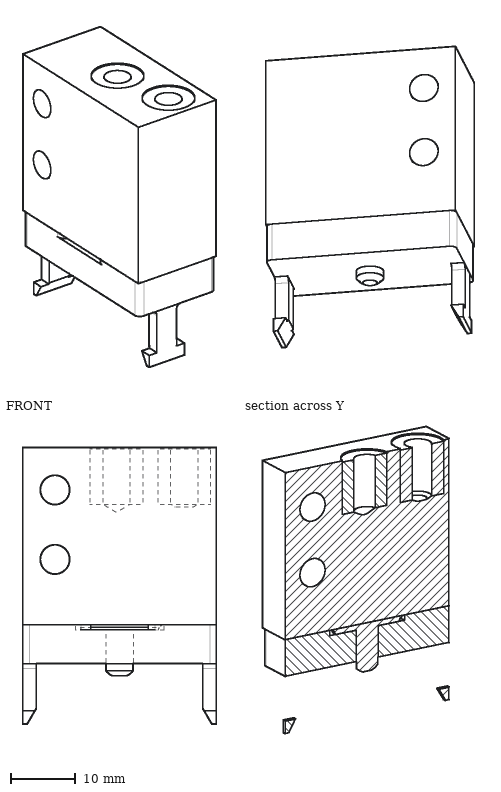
import cadquery as cq
import math


LENGTH = 30.0
WIDTH = 15.0
TOTAL_HEIGHT = 42.9
HOUSING_HEIGHT = 27.5
MOUNT_HOLE_DIAMETER = 4.5
MOUNT_HOLE_X = -10.0
MOUNT_HOLE_DROPS = (6.6, 17.37)

SLEEVE_DIAMETER = 8.2
SLEEVE_LENGTH = 8.6
SLEEVE_RECESS = 0.2
PORT_DIAMETER = 4.2
PORT_TIP_ANGLE = 118.0
CENTRE_PORT = (-0.5, 0.0)
SIDE_PORT = (10.0, 2.0)
SIDE_PORT_FLOOR_DIAMETER = 2.85

BASE_HEIGHT = 6.0
BASE_CORNER_RADIUS = 1.0
POCKET_DIAMETER = 13.73
POCKET_DEPTH = 0.77
WINDOW_WIDTH = 8.85
WINDOW_LEFT_RADIUS = 1.6
WINDOW_RIGHT_RADIUS = 1.05

PIN_DIAMETER = 4.25
PIN_PROJECTION = 1.95
PIN_TIP_HEIGHT = 0.8
PIN_TIP_MIDDLE = (1.67, 0.47)
PIN_TIP_FLAT_DIAMETER = 2.25
WHEEL_BOTTOM_DIAMETER = 11.93
WHEEL_MIDDLE_DIAMETER = 12.2
WHEEL_TOP_DIAMETER = 13.13

LEG_THICKNESS = 2.1
LEG_CENTRE_Y = -2.0
STEM_WIDTH = 3.8
STEM_ROOT_RADIUS = 0.77
FOOT_WIDTH = 6.8
FOOT_HEIGHT = 2.1
TOE_THICKNESS = 0.7
TOE_TAPER_HEIGHT = 2.4

SLEEVE_TOP = HOUSING_HEIGHT - SLEEVE_RECESS
SLEEVE_BOTTOM = SLEEVE_TOP - SLEEVE_LENGTH
LEG_HEIGHT = TOTAL_HEIGHT - HOUSING_HEIGHT - BASE_HEIGHT


def cylinder(diameter, bottom, top, centre=(0, 0)):
    return cq.Workplane("XY", origin=(*centre, bottom)).circle(diameter / 2).extrude(top - bottom)


def port_tip(centre, floor_diameter):
    """Drill point below a sleeve: a cone, cut off where it reaches the floor diameter."""
    radius = PORT_DIAMETER / 2
    floor_radius = floor_diameter / 2
    depth = (radius - floor_radius) / math.tan(math.radians(PORT_TIP_ANGLE / 2))
    outline = cq.Workplane("XZ").moveTo(0, 0).lineTo(radius, 0).lineTo(floor_radius, -depth)
    if floor_diameter > 0:
        outline = outline.lineTo(0, -depth)
    tip = outline.close().revolve(360, (0, 0), (0, 1))
    return tip.translate((*centre, SLEEVE_BOTTOM))


def make_housing():
    housing = cq.Workplane("XY").rect(LENGTH, WIDTH).extrude(HOUSING_HEIGHT)
    holes = [(MOUNT_HOLE_X, HOUSING_HEIGHT - drop) for drop in MOUNT_HOLE_DROPS]
    drill = cq.Workplane("XZ").pushPoints(holes).circle(MOUNT_HOLE_DIAMETER / 2).extrude(WIDTH / 2, both=True)
    housing = housing.cut(drill)
    for centre, floor_diameter in ((CENTRE_PORT, 0), (SIDE_PORT, SIDE_PORT_FLOOR_DIAMETER)):
        housing = housing.cut(cylinder(SLEEVE_DIAMETER, SLEEVE_BOTTOM, HOUSING_HEIGHT, centre))
        housing = housing.cut(port_tip(centre, floor_diameter))
    return housing


def make_sleeve(centre):
    sleeve = cylinder(SLEEVE_DIAMETER, SLEEVE_BOTTOM, SLEEVE_TOP, centre)
    return sleeve.cut(cylinder(PORT_DIAMETER, SLEEVE_BOTTOM, SLEEVE_TOP, centre))


def wheel_window():
    """Opening from the front wall into the wheel pocket, with rounded jambs."""
    front = -WIDTH / 2
    side = WINDOW_WIDTH / 2
    left, right = WINDOW_LEFT_RADIUS, WINDOW_RIGHT_RADIUS
    return (
        cq.Workplane("XY", origin=(0, 0, -POCKET_DEPTH))
        .moveTo(-side - left, front)
        .radiusArc((-side, front + left), -left)
        .lineTo(-side, 0)
        .lineTo(side, 0)
        .lineTo(side, front + right)
        .radiusArc((side + right, front), -right)
        .close()
        .extrude(POCKET_DEPTH)
    )


def make_base():
    base = cq.Workplane("XY").rect(LENGTH, WIDTH).extrude(-BASE_HEIGHT)
    base = base.edges("|Z").fillet(BASE_CORNER_RADIUS)
    base = base.cut(cylinder(POCKET_DIAMETER, -POCKET_DEPTH, 0)).cut(wheel_window())
    return base.cut(cylinder(PIN_DIAMETER, -BASE_HEIGHT, 0))


def make_pin():
    """Round-tipped pin through the base, with a flared wheel lying in the pocket."""
    tip_bottom = -BASE_HEIGHT - PIN_PROJECTION
    tip_top = tip_bottom + PIN_TIP_HEIGHT
    middle_radius, middle_depth = PIN_TIP_MIDDLE
    outline = (
        cq.Workplane("XZ")
        .moveTo(0, tip_bottom)
        .lineTo(PIN_TIP_FLAT_DIAMETER / 2, tip_bottom)
        .threePointArc((middle_radius, tip_top - middle_depth), (PIN_DIAMETER / 2, tip_top))
        .lineTo(PIN_DIAMETER / 2, -POCKET_DEPTH)
        .lineTo(WHEEL_BOTTOM_DIAMETER / 2, -POCKET_DEPTH)
        .lineTo(WHEEL_MIDDLE_DIAMETER / 2, -POCKET_DEPTH / 2)
        .lineTo(WHEEL_TOP_DIAMETER / 2, 0)
        .lineTo(0, 0)
        .close()
    )
    return outline.revolve(360, (0, 0), (0, 1))


def make_leg(side):
    """T-shaped leg under one end of the base; side is -1 at the -X end and 1 at the +X end."""
    root = STEM_WIDTH / 2 + STEM_ROOT_RADIUS
    stem = STEM_WIDTH / 2
    foot = FOOT_WIDTH / 2
    foot_top = FOOT_HEIGHT - LEG_HEIGHT
    tee = (
        cq.Workplane("YZ")
        .moveTo(-root, 0)
        .radiusArc((-stem, -STEM_ROOT_RADIUS), STEM_ROOT_RADIUS)
        .lineTo(-stem, foot_top)
        .lineTo(-foot, foot_top)
        .lineTo(-foot, -LEG_HEIGHT)
        .lineTo(foot, -LEG_HEIGHT)
        .lineTo(foot, foot_top)
        .lineTo(stem, foot_top)
        .lineTo(stem, -STEM_ROOT_RADIUS)
        .radiusArc((root, 0), STEM_ROOT_RADIUS)
        .close()
        .extrude(-side * LEG_THICKNESS)
    )
    taper = (
        cq.Workplane("XZ")
        .moveTo(-side * LEG_THICKNESS, TOE_TAPER_HEIGHT - LEG_HEIGHT)
        .lineTo(-side * TOE_THICKNESS, -LEG_HEIGHT)
        .lineTo(-side * LEG_THICKNESS, -LEG_HEIGHT)
        .close()
        .extrude(foot, both=True)
    )
    return tee.cut(taper).translate((side * LENGTH / 2, LEG_CENTRE_Y, -BASE_HEIGHT))


housing = make_housing()
sleeves = [make_sleeve(centre) for centre in (CENTRE_PORT, SIDE_PORT)]
base = make_base()
pin = make_pin()
legs = [make_leg(side) for side in (-1, 1)]

result = cq.Compound.makeCompound([
    housing.val(),
    *[sleeve.val() for sleeve in sleeves],
    base.val(),
    pin.val(),
    *[leg.val() for leg in legs],
])